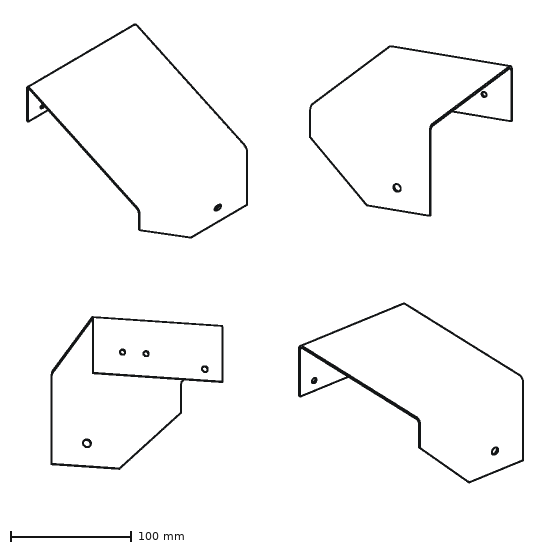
import cadquery as cq

width = 160.0
depth = 110.0
short_leg_height = 50.0
long_leg_height = 80.0
sheet_thickness = 2.0
outer_bend_radius = 5.0
inner_bend_radius = outer_bend_radius - sheet_thickness

corner_cut = 52.3

small_hole_diameter = 4.5
front_hole_diameter = 5.0
long_leg_hole_diameter = 6.7
short_leg_holes = [
    (25.0, 30.0, small_hole_diameter),
    (45.0, 30.0, small_hole_diameter),
    (95.0, 40.0, front_hole_diameter),
]
long_leg_hole = (30.0, 60.0, long_leg_hole_diameter)

left = -width / 2
right = width / 2
front = -depth / 2
back = depth / 2


def bent_sheet():
    """Sheet with a short left leg, a long right leg and rounded bends."""
    block = cq.Workplane("XY").box(width, depth, long_leg_height, centered=(True, True, False))
    outer = block.translate((0, 0, -long_leg_height)).edges("|Y and >Z").fillet(outer_bend_radius)
    cavity = (
        cq.Workplane("XY")
        .box(width - 2 * sheet_thickness, depth, long_leg_height, centered=(True, True, False))
        .edges("|Y and >Z")
        .fillet(inner_bend_radius)
        .translate((0, 0, -long_leg_height - sheet_thickness))
    )
    below_short_leg = cq.Workplane("XY").box(
        width / 2, depth, long_leg_height - short_leg_height, centered=(False, True, False)
    ).translate((left, 0, -long_leg_height))
    return outer.cut(cavity).cut(below_short_leg)


def corner_cutter():
    """Triangular prism that trims the lower front corner of the long leg."""
    return (
        cq.Workplane("YZ")
        .moveTo(front, -long_leg_height)
        .lineTo(front + corner_cut, -long_leg_height)
        .lineTo(front, -long_leg_height + corner_cut)
        .close()
        .extrude(right)
    )


def leg_hole(leg_start, from_back, below_top, diameter):
    """Cylinder along X through the leg whose left face is at leg_start."""
    return (
        cq.Workplane("YZ", origin=(leg_start, 0, 0))
        .center(back - from_back, -below_top)
        .circle(diameter / 2)
        .extrude(sheet_thickness)
    )


result = bent_sheet().cut(corner_cutter())
for hole in short_leg_holes:
    result = result.cut(leg_hole(left, *hole))
result = result.cut(leg_hole(right - sheet_thickness, *long_leg_hole))